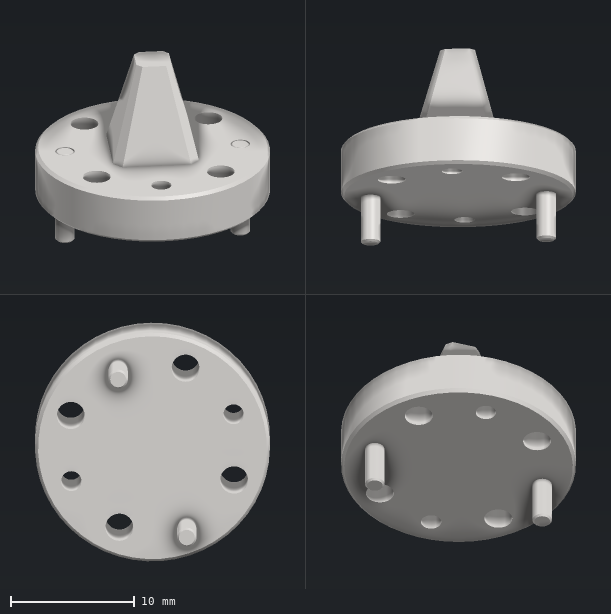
import cadquery as cq
import math

flange_diameter = 19.05
flange_thickness = 4.04
flange_chamfer = 0.25

pitch_radius = 14.2875 / 2
screw_hole_diameter = 2.26
alignment_hole_diameter = 1.65
screw_hole_angles = [0, 90, 180, 270]
alignment_hole_angles = [135, 315]
pin_angles = [45, 225]

post_height = 7.95
post_base_side = 7.0
post_base_flat = 1.0
post_top_side = 2.84
post_top_flat = 0.64

pin_diameter = 1.58
pin_length = 7.93
pin_projection = pin_length - flange_thickness
pin_chamfer = 0.15


def pitch_points(angles):
    """Points on the pitch circle at the given angles in degrees."""
    return [
        (pitch_radius * math.cos(math.radians(angle)), pitch_radius * math.sin(math.radians(angle)))
        for angle in angles
    ]


def post_outline(side, flat):
    """Corners of a diamond of the given side, its tips cut to the given flat width."""
    tip = (side * math.sqrt(2) - flat) / 2
    half_flat = flat / 2
    return [
        (tip, -half_flat), (tip, half_flat),
        (half_flat, tip), (-half_flat, tip),
        (-tip, half_flat), (-tip, -half_flat),
        (-half_flat, -tip), (half_flat, -tip),
    ]


def make_post():
    return (
        cq.Workplane("XY")
        .workplane(offset=flange_thickness)
        .polyline(post_outline(post_base_side, post_base_flat))
        .close()
        .workplane(offset=post_height)
        .polyline(post_outline(post_top_side, post_top_flat))
        .close()
        .loft(ruled=True)
    )


def make_holes(angles, diameter):
    """Cylinders through the flange thickness, one at each angle."""
    return cq.Workplane("XY").pushPoints(pitch_points(angles)).circle(diameter / 2).extrude(flange_thickness)


def make_flange():
    disc = cq.Workplane("XY").circle(flange_diameter / 2).extrude(flange_thickness)
    disc = disc.faces("<Z or >Z").edges().chamfer(flange_chamfer)
    return (
        disc.union(make_post())
        .cut(make_holes(screw_hole_angles, screw_hole_diameter))
        .cut(make_holes(alignment_hole_angles, alignment_hole_diameter))
        .cut(make_holes(pin_angles, pin_diameter))
    )


def make_pin(x, y):
    pin = cq.Workplane("XY", origin=(x, y, -pin_projection)).circle(pin_diameter / 2).extrude(pin_length)
    return pin.faces("<Z or >Z").edges().chamfer(pin_chamfer)


flange = make_flange()
pins = [make_pin(x, y) for x, y in pitch_points(pin_angles)]

result = cq.Compound.makeCompound([flange.val(), *[pin.val() for pin in pins]])